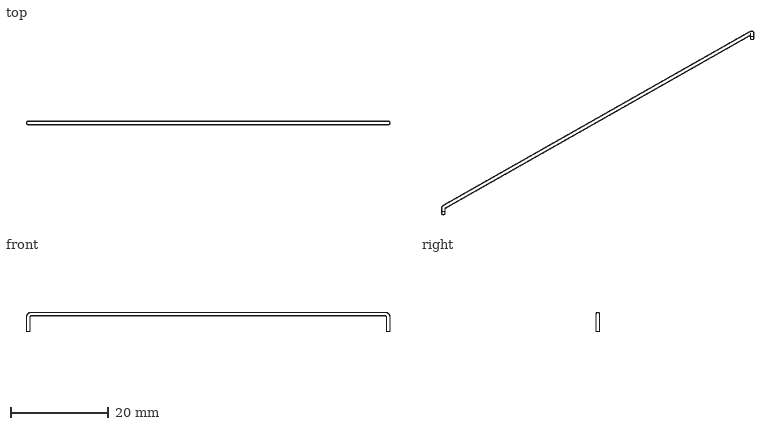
import cadquery as cq

wire_diameter = 0.75
overall_length = 74.75
overall_height = 3.975
bend_radius = 0.6

wire_radius = wire_diameter / 2
leg_x = (overall_length - wire_diameter) / 2
span_z = 0.0
foot_z = span_z + wire_radius - overall_height
bend_start_x = leg_x - bend_radius
bend_end_z = span_z - bend_radius


def wire_centreline():
    """Path up the left leg, along the span and down the right leg."""
    return (
        cq.Workplane("XZ")
        .moveTo(-leg_x, foot_z)
        .lineTo(-leg_x, bend_end_z)
        .tangentArcPoint((-bend_start_x, span_z), relative=False)
        .lineTo(bend_start_x, span_z)
        .tangentArcPoint((leg_x, bend_end_z), relative=False)
        .lineTo(leg_x, foot_z)
    )


def wire_section():
    """Round wire section at the foot of the left leg."""
    return cq.Workplane("XY", origin=(-leg_x, 0, foot_z)).circle(wire_radius)


result = wire_section().sweep(wire_centreline())